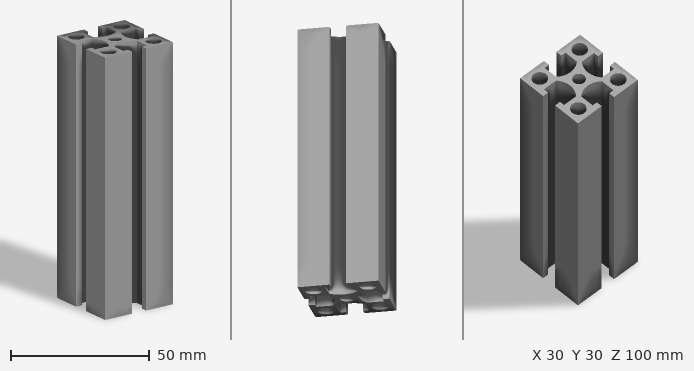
import cadquery as cq

side = 30.0
length = 100.0

slot_opening = 6.2
lip_thickness = 2.5
cavity_width = 10.4

floor_distance = 4.5
floor_corner_distance = 6.5

centre_bore_diameter = 5.0
corner_bore_diameter = 6.0
corner_bore_spacing = 20.0


def slot_cutter():
    """T-slot open towards +Y, running the full length."""
    half_side = side / 2
    half_opening = slot_opening / 2
    half_cavity = cavity_width / 2
    lip_inner = half_side - lip_thickness
    return (
        cq.Workplane("XY")
        .moveTo(-half_opening, half_side)
        .lineTo(-half_opening, lip_inner)
        .lineTo(-half_cavity, lip_inner)
        .lineTo(-half_cavity, floor_corner_distance)
        .threePointArc((0, floor_distance), (half_cavity, floor_corner_distance))
        .lineTo(half_cavity, lip_inner)
        .lineTo(half_opening, lip_inner)
        .lineTo(half_opening, half_side)
        .close()
        .extrude(length)
    )


result = cq.Workplane("XY").rect(side, side).extrude(length)

slot = slot_cutter()
for angle in (0, 90, 180, 270):
    result = result.cut(slot.rotate((0, 0, 0), (0, 0, 1), angle))

result = result.faces(">Z").workplane(origin=(0, 0, 0)).hole(centre_bore_diameter)

result = (
    result.faces(">Z")
    .workplane(origin=(0, 0, 0))
    .rect(corner_bore_spacing, corner_bore_spacing, forConstruction=True)
    .vertices()
    .hole(corner_bore_diameter)
)